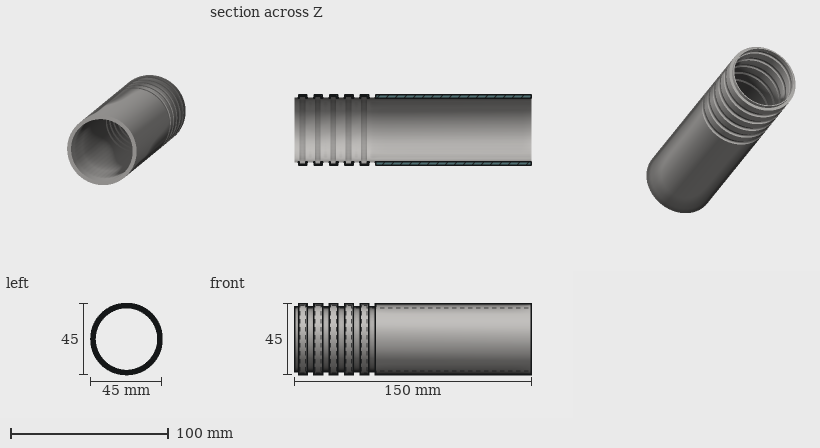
import cadquery as cq

length = 150.0
outer_diameter = 45.0
bore_diameter = 40.0

neck_diameter = 41.25
rib_count = 5
rib_pitch = 9.75
rib_width = 5.5
first_rib_start = 2.5

recess_diameter = 42.77
recess_width = 3.65
recess_offset = (neck_diameter - bore_diameter) / 2

barrel_start = first_rib_start + rib_count * rib_pitch
rib_starts = [first_rib_start + i * rib_pitch for i in range(rib_count)]


def cylinder(diameter, start, width):
    """Solid cylinder along X, from a starting station over a given width."""
    return cq.Workplane("YZ", origin=(start, 0, 0)).circle(diameter / 2).extrude(width)


def make_outer_body():
    """Solid outer shape: neck, ribs and plain barrel."""
    body = cylinder(neck_diameter, 0, barrel_start)
    body = body.union(cylinder(outer_diameter, barrel_start, length - barrel_start))
    for start in rib_starts:
        body = body.union(cylinder(outer_diameter, start, rib_width))
    return body


def make_cavity():
    """Through bore widened by the recesses under the ribs."""
    cavity = cylinder(bore_diameter, 0, length)
    for start in rib_starts:
        cavity = cavity.union(cylinder(recess_diameter, start + recess_offset, recess_width))
    return cavity


result = make_outer_body().cut(make_cavity())